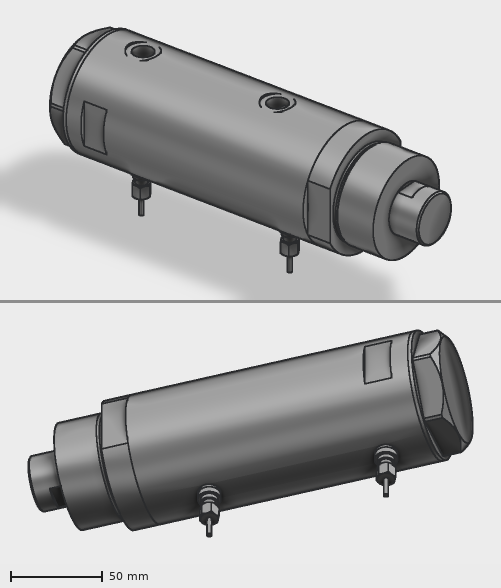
import cadquery as cq
import math

TOTAL_LENGTH = 241.5
OVERSIZE = 48.3

BARREL_RADIUS = 36.5
BARREL_START = 16.2
BARREL_END = 178.5
BARREL_FLAT_START = 26.3
BARREL_FLAT_LENGTH = 15.5
BARREL_FLAT_WIDTH = 67.1

PORT_POSITIONS = (41.5, 133.5)
PORT_DIAMETER = 12.8
SPOTFACE_RADIUS = 10.0
SPOTFACE_DEPTH = 1.09

FLANGE_START = 14.0
HEX_ACROSS_FLATS = 60.5
HEX_CORNER_RADIUS = 34.3
HEX_FACE_RADIUS = 30.0
HEX_CHAMFER_LENGTH = 3.9
HEX_ROTATION = 7.0
CAP_SPIGOT_RADIUS = 25.4
CAP_SPIGOT_END = 42.3

HEAD_START = PORT_POSITIONS[1]
COLLAR_END = 193.7
COLLAR_FLAT_WIDTH = 64.2
HEAD_SPIGOT_RADIUS = 31.6
NOSE_RADIUS = 30.2
NOSE_START = 197.3
NOSE_END = 221.7
GROOVE_DEPTH = 1.5
GROOVE_SHOULDER_DEPTH = 0.7
GROOVE_FLANK = 1.2

PISTON_RADIUS = 20.8
ROD_RADIUS = 15.7
ROD_FLAT_END = 231.4
ROD_FLAT_WIDTH = 27.3
ROD_CHAMFER = 1.0

SENSOR_POSITIONS = (40.3, 142.0)
SEAT_DEPTH = 38.0
SENSOR_FLANGE_RADIUS = 6.3
SENSOR_FLANGE_END = 41.5
SENSOR_STEP_RADIUS = 4.8
SENSOR_STEP_END = 44.5
SENSOR_NECK_RADIUS = 3.6
SENSOR_NUT_START = 48.3
SENSOR_NUT_END = 56.5
SENSOR_NUT_ACROSS_FLATS = 9.7
SENSOR_NUT_CHAMFER = 0.7
CABLE_RADIUS = 1.33
CABLE_END = 68.8


def cylinder_x(start, end, radius):
    """Cylinder on the X axis between two X positions."""
    return cq.Workplane("YZ", origin=(start, 0, 0)).circle(radius).extrude(end - start)


def cylinder_down(x, start, end, radius):
    """Vertical cylinder at position x, from one distance below the axis to a lower one."""
    return cq.Workplane("XY", origin=(x, 0, -end)).circle(radius).extrude(end - start)


def revolve_x(profile):
    """Solid of revolution about the X axis from (x, radius) points."""
    return cq.Workplane("XY").polyline(profile).close().revolve(360, (0, 0, 0), (1, 0, 0))


def slab(start, end, thickness):
    """Block along X that is centred on the axis, with the thickness along Y."""
    block = cq.Workplane("XY").box(end - start, thickness, 2 * OVERSIZE)
    return block.translate(((start + end) / 2, 0, 0))


def two_flats(start, end, width):
    """Material to cut so that a stretch of the part keeps two flats facing -Y and +Y."""
    return slab(start, end, 2 * OVERSIZE).cut(slab(start, end, width))


def hexagon_diameter(across_flats):
    return across_flats / math.cos(math.pi / 6)


def make_barrel():
    barrel = cylinder_x(BARREL_START, BARREL_END, BARREL_RADIUS)

    for x in SENSOR_POSITIONS:
        barrel = barrel.union(cylinder_down(x, CAP_SPIGOT_RADIUS, SEAT_DEPTH, SENSOR_FLANGE_RADIUS))

    barrel = barrel.cut(cylinder_x(BARREL_START, BARREL_END, CAP_SPIGOT_RADIUS))
    barrel = barrel.cut(cylinder_x(HEAD_START, BARREL_END, HEAD_SPIGOT_RADIUS))

    for x in PORT_POSITIONS:
        port = cq.Workplane("XY", origin=(x, 0, 0)).circle(PORT_DIAMETER / 2).extrude(OVERSIZE)
        spotface_height = BARREL_RADIUS - SPOTFACE_DEPTH
        spotface = cq.Workplane("XY", origin=(x, 0, spotface_height)).circle(SPOTFACE_RADIUS)
        barrel = barrel.cut(port).cut(spotface.extrude(OVERSIZE))

    flat_end = BARREL_FLAT_START + BARREL_FLAT_LENGTH
    return barrel.cut(two_flats(BARREL_FLAT_START, flat_end, BARREL_FLAT_WIDTH))


def make_cap():
    hexagon = (
        cq.Workplane("YZ")
        .polygon(6, hexagon_diameter(HEX_ACROSS_FLATS))
        .extrude(FLANGE_START)
        .rotate((0, 0, 0), (1, 0, 0), -HEX_ROTATION)
    )
    envelope = revolve_x(
        [
            (0, 0),
            (0, HEX_FACE_RADIUS),
            (HEX_CHAMFER_LENGTH, HEX_CORNER_RADIUS),
            (FLANGE_START, HEX_CORNER_RADIUS),
            (FLANGE_START, 0),
        ]
    )
    flange = cylinder_x(FLANGE_START, BARREL_START, BARREL_RADIUS)
    spigot = cylinder_x(BARREL_START, CAP_SPIGOT_END, CAP_SPIGOT_RADIUS)
    return hexagon.intersect(envelope).union(flange).union(spigot)


def make_head():
    groove_radius = NOSE_RADIUS - GROOVE_DEPTH
    head = revolve_x(
        [
            (HEAD_START, ROD_RADIUS),
            (HEAD_START, HEAD_SPIGOT_RADIUS),
            (BARREL_END, HEAD_SPIGOT_RADIUS),
            (BARREL_END, BARREL_RADIUS),
            (COLLAR_END, BARREL_RADIUS),
            (COLLAR_END, NOSE_RADIUS - GROOVE_SHOULDER_DEPTH),
            (COLLAR_END + GROOVE_FLANK, groove_radius),
            (NOSE_START - GROOVE_FLANK, groove_radius),
            (NOSE_START, NOSE_RADIUS),
            (NOSE_END, NOSE_RADIUS),
            (NOSE_END, ROD_RADIUS),
        ]
    )
    return head.cut(two_flats(BARREL_END, COLLAR_END, COLLAR_FLAT_WIDTH))


def make_rod():
    piston = cylinder_x(CAP_SPIGOT_END, HEAD_START, PISTON_RADIUS)
    rod = cylinder_x(HEAD_START, TOTAL_LENGTH, ROD_RADIUS).faces(">X").chamfer(ROD_CHAMFER)

    flats = two_flats(NOSE_END, ROD_FLAT_END, ROD_FLAT_WIDTH).rotate((0, 0, 0), (1, 0, 0), 90)
    return piston.union(rod.cut(flats))


def make_sensor_nut(x):
    """Hexagon nut with a corner toward -X and chamfered corners at both ends."""
    corner_diameter = hexagon_diameter(SENSOR_NUT_ACROSS_FLATS)
    height = SENSOR_NUT_END - SENSOR_NUT_START
    base = cq.Workplane("XY", origin=(x, 0, -SENSOR_NUT_END))
    envelope = base.circle(corner_diameter / 2).extrude(height)
    envelope = envelope.faces("<Z or >Z").chamfer(SENSOR_NUT_CHAMFER)
    return base.polygon(6, corner_diameter).extrude(height).intersect(envelope)


def make_sensor(x):
    sensor = cylinder_down(x, SEAT_DEPTH, SENSOR_FLANGE_END, SENSOR_FLANGE_RADIUS)
    sensor = sensor.union(cylinder_down(x, SENSOR_FLANGE_END, SENSOR_STEP_END, SENSOR_STEP_RADIUS))
    sensor = sensor.union(cylinder_down(x, SENSOR_STEP_END, SENSOR_NUT_START, SENSOR_NECK_RADIUS))
    sensor = sensor.union(make_sensor_nut(x))
    return sensor.union(cylinder_down(x, SENSOR_NUT_END, CABLE_END, CABLE_RADIUS))


barrel = make_barrel()
cap = make_cap()
head = make_head()
rod = make_rod()
sensors = [make_sensor(x) for x in SENSOR_POSITIONS]

result = cq.Compound.makeCompound(
    [barrel.val(), cap.val(), head.val(), rod.val(), *[sensor.val() for sensor in sensors]]
)